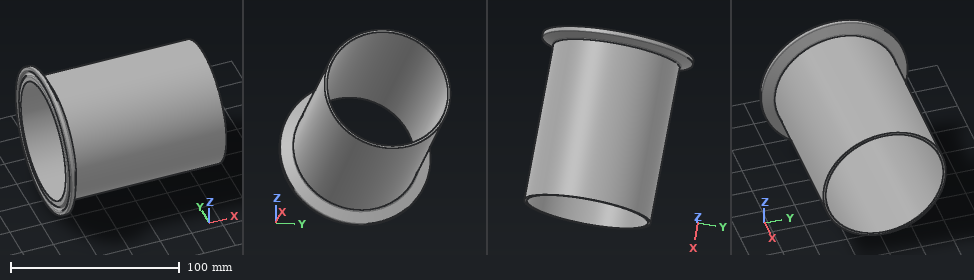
import cadquery as cq
import math

length = 101.6
tube_diameter = 76.2
bore_diameter = 72.9

flange_diameter = 90.9
rim_width = 2.8
rim_fillet = 0.3
cone_angle = 20.0
cone_root_fillet = 0.9

groove_center_diameter = 82.9
groove_width = 3.9
groove_depth = 1.5
groove_lip_radius = 0.8

match_tolerance = 0.001

tube_radius = tube_diameter / 2
bore_radius = bore_diameter / 2
flange_radius = flange_diameter / 2
cone_end = rim_width + (flange_radius - tube_radius) * math.tan(math.radians(cone_angle))


def revolve_about_x(profile):
    """Turn a closed profile (axial position, radius) into a solid around the X axis."""
    return profile.revolve(360, (0, 0, 0), (1, 0, 0))


def fillet_circle(body, x, radius, fillet_radius):
    """Fillet the circular edge of the given radius at an axial position."""
    edge = body.edges("%CIRCLE").filter(
        lambda circle: math.isclose(circle.Center().x, x, abs_tol=match_tolerance)
        and math.isclose(circle.radius(), radius, abs_tol=match_tolerance)
    )
    return edge.fillet(fillet_radius)


def ferrule_blank():
    """Tube and flange with a conical back face, before the groove is cut."""
    outside = revolve_about_x(
        cq.Workplane("XY")
        .lineTo(0, flange_radius)
        .lineTo(rim_width, flange_radius)
        .lineTo(cone_end, tube_radius)
        .lineTo(length, tube_radius)
        .lineTo(length, 0)
        .close()
    )

    outside = fillet_circle(outside, cone_end, tube_radius, cone_root_fillet)
    outside = fillet_circle(outside, 0, flange_radius, rim_fillet)
    outside = fillet_circle(outside, rim_width, flange_radius, rim_fillet)
    bore = cq.Workplane("YZ").circle(bore_radius).extrude(length)
    return outside.cut(bore)


def gasket_groove():
    """Ring with a round bottom that runs tangent into two rounded lips."""
    center = groove_center_diameter / 2
    half_width = groove_width / 2

    radius_sum = (half_width**2 + groove_depth**2) / (2 * groove_depth)
    bottom_radius = radius_sum - groove_lip_radius
    sweep = math.asin(half_width / radius_sum)

    lip_depth = groove_lip_radius * (1 - math.cos(sweep))
    lip_end = bottom_radius * math.sin(sweep)

    lip_mid_depth = groove_lip_radius * (1 - math.cos(sweep / 2))
    lip_mid = half_width - groove_lip_radius * math.sin(sweep / 2)

    return revolve_about_x(
        cq.Workplane("XY")
        .moveTo(0, center - half_width)
        .threePointArc((lip_mid_depth, center - lip_mid), (lip_depth, center - lip_end))
        .threePointArc((groove_depth, center), (lip_depth, center + lip_end))
        .threePointArc((lip_mid_depth, center + lip_mid), (0, center + half_width))
        .close()
    )


result = ferrule_blank().cut(gasket_groove())